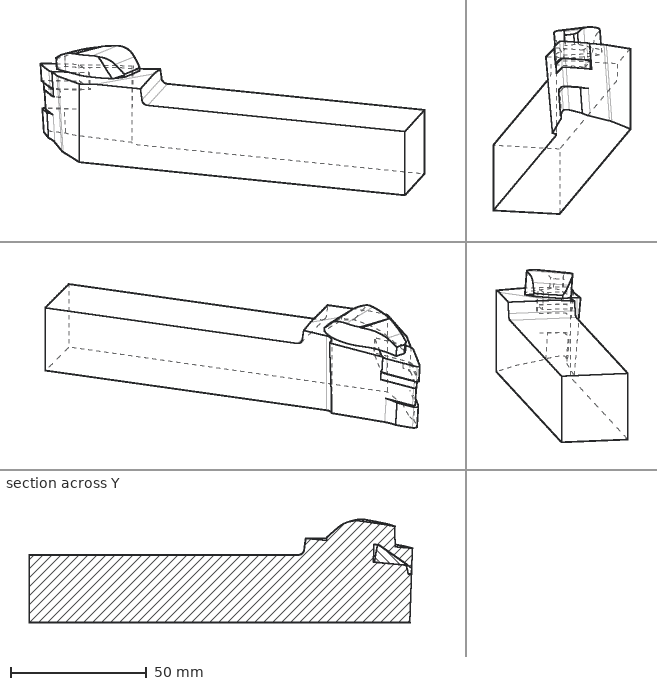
import cadquery as cq
import math


total_length = 150.0
shank_width = 25.0
shank_height = 25.0
head_height = 31.18
head_step_x = 48.0
step_wall_run = 0.6
step_fillet = 2.1
tip_y = 32.0
corner_cut = 24.5
corner_blend_radius = 6.0
ear_x = 36.2
ear_fillet = 3.0
clear = 60.0

seat_slope = 0.0932
seat_start_x = 30.25
tip_z = head_height - seat_slope * (seat_start_x + tip_y)
seat_plane = cq.Plane(
    origin=(0, tip_y, tip_z),
    xDir=(1, 0, seat_slope),
    normal=(-seat_slope, seat_slope, 1),
)
seat_location = cq.Location(seat_plane)

tip_angle = 55.0
insert_edge = 15.5
insert_thickness = 6.35
tip_radius = 0.8
insert_side_radius = 3.6
upper_edge_direction = -3.0
lower_edge_direction = upper_edge_direction - tip_angle
bisector_direction = upper_edge_direction - tip_angle / 2

shim_inset = 0.5
shim_thickness = 3.2
shim_side_radius = 5.5
head_inset = 0.6
heel_outset = 0.4
heel_depth = 16.9
heel_flat = 9.2
heel_run_out = 12.2
heel_radius = 1.3
head_depth = 40.0

clamp_nose = [(10.5, -4.1), (8.7, -7.4), (8.8, -8.9), (13.3, -12.3)]
clamp_lower_side = [(18.4, -16.5), (23.7, -20.0), (30.3, -22.3), (34.8, -23.2)]
clamp_tail = [(38.9, -20.7), (41.5, -10.3)]
clamp_upper_side = [(36.5, -6.5), (31.9, -5.2), (27.0, -5.0), (22.0, -5.8), (15.3, -5.4)]

nose_line_direction = 59.0
nose_start = (8.7, -7.4)
nose_start_height = 3.8
nose_slope_end = (13.5, -8.0)
nose_slope_end_height = 6.0
nose_bulge = (17.4, -9.6)
nose_bulge_height = 7.15
back_start = (22.0, -10.8)
back_start_height = 7.75
nose_overrun = (8.0, 4.2)

back_line_direction = 75.0
crest = (29.2, -13.3)
crest_height = 8.22
back_slope = 0.05
tail_start = (36.8, -15.2)
tail_start_height = 4.85
tail_end = (40.2, -15.5)
tail_end_height = 1.1
clamp_blank_height = 12.0

tail_flat_point = (29.6, 10.8, 37.45)
tail_flat_normal = (0.375, -0.786, 0.488)


def along(start, direction, distance):
    """Point at a distance from start, in a direction given in degrees."""
    angle = math.radians(direction)
    return (start[0] + distance * math.cos(angle), start[1] + distance * math.sin(angle))


def sharp_corner(inset):
    """Unrounded cutting corner in seat coordinates, with both edges moved inward by the inset."""
    half_sine = math.sin(math.radians(tip_angle / 2))
    return along((tip_radius, -tip_radius), bisector_direction, (inset - tip_radius) / half_sine)


def rhombus_corners(inset):
    """Tip, upper side, back and lower side corners; only the two cutting edges are inset."""
    tip = sharp_corner(inset)
    edge = insert_edge - inset / math.sin(math.radians(tip_angle))
    upper = along(tip, upper_edge_direction, edge)
    lower = along(tip, lower_edge_direction, edge)
    back = along(upper, lower_edge_direction, edge)
    return [tip, upper, back, lower]


def rhombus_plate(inset, top, thickness):
    plate = cq.Workplane("XY", origin=(0, 0, top)).polyline(rhombus_corners(inset)).close()
    return plate.extrude(-thickness)


def round_corner(solid, corner, height, radius):
    """Round the edge along the seat normal that passes through a corner at about this height."""
    nearest = cq.selectors.NearestToPointSelector((corner[0], corner[1], height))
    return solid.edges("|Z").edges(nearest).fillet(radius)


def seat_point(x, y):
    """Seat coordinates of the seat point directly above or below (x, y)."""
    z = tip_z + seat_slope * (x - (y - tip_y))
    local = seat_plane.toLocalCoords(cq.Vector(x, y, z))
    return (local.x, local.y)


def place_on_seat(part):
    """Move a part from seat coordinates to its place on the tool."""
    return cq.Workplane(part.val().moved(seat_location))


def make_insert():
    tip, upper, back, lower = rhombus_corners(0)
    middle = -insert_thickness / 2
    plate = rhombus_plate(0, 0, insert_thickness)
    for corner in (tip, back):
        plate = round_corner(plate, corner, middle, tip_radius)
    for corner in (upper, lower):
        plate = round_corner(plate, corner, middle, insert_side_radius)
    return plate


def make_pocket():
    """Room for insert and shim: fits the insert at its upper side corner, sharp at the lower one."""
    upper = rhombus_corners(0)[1]
    seat = rhombus_plate(0, 0, insert_thickness)
    seat = round_corner(seat, upper, -insert_thickness / 2, insert_side_radius)
    return seat.union(rhombus_plate(shim_inset, -insert_thickness, shim_thickness))


def make_shim():
    corners = rhombus_corners(shim_inset)
    tip, lower = corners[0], corners[3]
    middle = -insert_thickness - shim_thickness / 2
    shim = rhombus_plate(shim_inset, -insert_thickness, shim_thickness)
    shim = round_corner(shim, tip, middle, tip_radius)
    return round_corner(shim, lower, middle, shim_side_radius)


def make_head_prism():
    """Head walls parallel to the seat normal, from the nose back past the head step."""
    tip = sharp_corner(head_inset)
    corner_end = seat_point(corner_cut, 0)
    corner_direction = math.atan2(
        corner_end[1] - seat_point(0, corner_cut)[1],
        corner_end[0] - seat_point(0, corner_cut)[0],
    )
    edge_direction = math.radians(lower_edge_direction)
    gap_x = corner_end[0] - tip[0]
    gap_y = corner_end[1] - tip[1]
    reach = (gap_x * math.sin(corner_direction) - gap_y * math.cos(corner_direction)) / math.sin(
        corner_direction - edge_direction
    )
    bend = along(tip, lower_edge_direction, reach)
    upper_end = along(tip, upper_edge_direction, clear)

    outline = [tip, bend, corner_end, seat_point(clear, 0), upper_end]
    prism = cq.Workplane("XY").polyline(outline).close().extrude(-head_depth)
    prism = round_corner(prism, tip, -head_depth / 2, tip_radius)
    return round_corner(prism, bend, -head_depth / 2, corner_blend_radius)


def make_heel():
    """Foot of the nose: stands out past the cutting edges and blends back into the head walls."""
    outer = sharp_corner(-heel_outset)
    inner = sharp_corner(head_inset)
    flat_lower = along(outer, lower_edge_direction, heel_flat)
    flat_upper = along(outer, upper_edge_direction, heel_flat)
    run_out_lower = along(inner, lower_edge_direction, heel_run_out)
    run_out_upper = along(inner, upper_edge_direction, heel_run_out)
    blend_radius = math.dist(flat_lower, run_out_lower) ** 2 / (2 * (heel_outset + head_inset))
    heel = (
        cq.Workplane("XY", origin=(0, 0, -heel_depth))
        .moveTo(*outer)
        .lineTo(*flat_lower)
        .radiusArc(run_out_lower, blend_radius)
        .lineTo(*run_out_upper)
        .radiusArc(flat_upper, blend_radius)
        .close()
        .extrude(heel_depth - head_depth)
    )
    return round_corner(heel, outer, -(heel_depth + head_depth) / 2, heel_radius)


def section_plane(line_direction):
    """Upright plane across the clamp, square to lines that run in the given direction."""
    angle = math.radians(line_direction - 90)
    return cq.Plane(
        origin=(0, 0, 0),
        xDir=(math.cos(angle), math.sin(angle), 0),
        normal=(math.sin(angle), -math.cos(angle), 0),
    )


def section_point(plane, point, height):
    """Coordinates, in a section plane, of a height above a seat point."""
    local = plane.toLocalCoords(cq.Vector(point[0], point[1], height))
    return (local.x, local.y)


def make_nose_section():
    """Sloping nose top that curves up into the clamp back."""
    plane = section_plane(nose_line_direction)
    start = section_point(plane, nose_start, nose_start_height)
    slope_end = section_point(plane, nose_slope_end, nose_slope_end_height)
    bulge = section_point(plane, nose_bulge, nose_bulge_height)
    back = section_point(plane, back_start, back_start_height)
    top = (back[0] + nose_overrun[0], back[1] + nose_overrun[1])
    section = (
        cq.Workplane(plane)
        .moveTo(start[0], 0)
        .lineTo(*start)
        .lineTo(*slope_end)
        .threePointArc(bulge, back)
        .lineTo(*top)
        .lineTo(clear, top[1])
        .lineTo(clear, 0)
        .close()
    )
    return section.extrude(clear, both=True)


def make_back_section():
    """Nearly level clamp back that rounds over its crest down to the tail."""
    plane = section_plane(back_line_direction)
    top = section_point(plane, crest, crest_height)
    tail = section_point(plane, tail_start, tail_start_height)
    end = section_point(plane, tail_end, tail_end_height)
    section = (
        cq.Workplane(plane)
        .moveTo(0, 0)
        .lineTo(0, top[1] - back_slope * top[0])
        .lineTo(*top)
        .tangentArcPoint(tail, relative=False)
        .lineTo(*end)
        .lineTo(end[0], 0)
        .close()
    )
    return section.extrude(clear, both=True)


def make_clamp():
    outline = (
        cq.Workplane("XY")
        .polyline(clamp_nose)
        .spline(clamp_lower_side, includeCurrent=True)
        .lineTo(*clamp_tail[0])
        .lineTo(*clamp_tail[1])
        .spline([*clamp_upper_side, clamp_nose[0]], includeCurrent=True)
        .close()
    )
    clamp = outline.extrude(clamp_blank_height)
    clamp = clamp.intersect(make_nose_section()).intersect(make_back_section())
    tail_flat = cq.Plane(origin=tail_flat_point, normal=tail_flat_normal)
    waste = cq.Workplane(tail_flat).rect(clear, clear).extrude(clear)
    return place_on_seat(clamp).cut(waste)


def make_side_profile(width):
    """Side outline of shank and head, with the filleted step between them."""
    step_foot_x = head_step_x + step_wall_run
    profile = (
        cq.Workplane("XZ")
        .moveTo(0, 0)
        .lineTo(total_length, 0)
        .lineTo(total_length, shank_height)
        .lineTo(step_foot_x + step_fillet, shank_height)
        .tangentArcPoint((step_foot_x, shank_height + step_fillet), relative=False)
        .lineTo(head_step_x, head_height)
        .lineTo(0, head_height)
        .close()
    )
    return profile.extrude(-width)


def make_plan_profile():
    """Plan outline of the tool, with the filleted corner between the ear and the shank."""
    profile = (
        cq.Workplane("XY")
        .lineTo(total_length, 0)
        .lineTo(total_length, shank_width)
        .lineTo(ear_x + ear_fillet, shank_width)
        .radiusArc((ear_x, shank_width + ear_fillet), ear_fillet)
        .lineTo(ear_x, clear)
        .lineTo(0, clear)
        .close()
    )
    return profile.extrude(clear)


def make_shank():
    """Shank and the rear of the head, running from the ear and kept below the seat plane."""
    behind_ear = cq.Workplane("XY", origin=(ear_x, 0, 0)).rect(total_length, clear, centered=False)
    below_seat = cq.Workplane("XY").rect(3 * total_length, 3 * total_length).extrude(-2 * clear)
    shank = make_side_profile(shank_width).intersect(behind_ear.extrude(clear))
    return shank.intersect(place_on_seat(below_seat))


def make_holder():
    head = make_head_prism().cut(make_pocket()).union(make_shim()).union(make_heel())
    head = place_on_seat(head).intersect(make_side_profile(clear)).intersect(make_plan_profile())
    return head.union(make_shank()).union(make_clamp())


holder = make_holder()
insert = place_on_seat(make_insert())
result = cq.Compound.makeCompound([holder.val(), insert.val()])